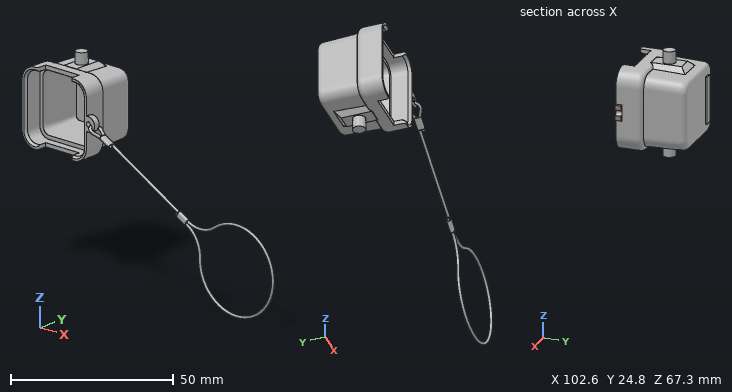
import cadquery as cq
import math

skirt_width = 26.9
skirt_corner = 5.2
skirt_depth = 8.7
shoulder_radius = 1.8
body_width = 24.0
body_corner = 3.8
body_back = 22.5
body_taper = 1.5
back_edge_radius = 1.8
rim_wall = 0.8
mouth_wall = 1.4

lead_in_depth = 1.0
ledge_depth = 6.7
pocket_width = 21.3
pocket_corner = 2.7
pocket_floor = 20.5
pocket_floor_width = 18.8
pocket_taper = math.degrees(math.atan2((pocket_width - pocket_floor_width) / 2, pocket_floor - ledge_depth))

notch_width = 14.0
notch_depth = 3.8
notch_corner = 0.8

pin_diameter = 4.1
pin_span = 35.0
pin_y = 12.6
pad_width = 5.0
pad_front = 7.5
pad_back = 17.6
pad_slope = 2.0

strip_left = -7.8
strip_width = 2.4
strip_length = 15.6
strip_height = 0.5

lug_diameter = 5.1
lug_thickness = 2.2
lug_hole = 1.6
lug_reach = 0.8
lug_x = skirt_width / 2 + lug_reach

cable_diameter = 1.0
cable_pitch = 1.1
tether_drop = math.radians(30)
tether_lean = math.radians(1.1)
tether_y = 0.67
ring_u = 3.0
ring_radius = 2.0
ferrule_thickness = 1.4
ring_ferrule_start = 6.0
ring_ferrule_end = 10.2
ring_tail = 0.8
loop_ferrule_start = 41.5
loop_ferrule_end = 45.6
loop_tail = 0.8
loop_u = 68.6
loop_radius = 15.0


def along_y(y_start):
    """Workplane at the given Y, square to the hood axis and facing +Y."""
    return cq.Workplane(cq.Plane(origin=(0, y_start, 0), xDir=(1, 0, 0), normal=(0, 1, 0)))


def rounded_block(width, corner, y_start, y_end, taper=0.0):
    """Square block with rounded corners, narrowing toward +Y by the taper angle."""
    outline = cq.Sketch().rect(width, width).vertices().fillet(corner)
    return along_y(y_start).placeSketch(outline).extrude(y_end - y_start, taper=taper)


def hood_shell():
    """Solid outer shape of the hood before the cavity is cut."""
    skirt = rounded_block(skirt_width, skirt_corner, 0, skirt_depth)
    skirt = skirt.faces(">Y").edges().fillet(shoulder_radius)
    body = along_y(ledge_depth).rect(body_width, body_width)
    body = body.extrude(body_back - ledge_depth, taper=body_taper)
    body = body.edges("not(|X or |Z)").fillet(body_corner)
    body = body.faces(">Y").edges().fillet(back_edge_radius)
    return skirt.union(body)


def pin_pad():
    """Flat-topped pad with sloped flanks, level with the skirt, and its locking pin, on the +Z side."""
    top = skirt_width / 2
    center_y = (pad_front + pad_back) / 2
    pad = (
        cq.Workplane("XY", origin=(0, center_y, top - pad_slope))
        .rect(pad_width + 2 * pad_slope, pad_back - pad_front + 2 * pad_slope)
        .workplane(offset=pad_slope)
        .rect(pad_width, pad_back - pad_front)
        .loft(ruled=True)
    )
    pin = cq.Workplane("XY", origin=(0, pin_y, top - pad_slope)).circle(pin_diameter / 2)
    pin = pin.extrude(pin_span / 2 - top + pad_slope)
    return pad.union(pin)


def cavity():
    """Stepped hollow cut from the open rim."""
    lead_in_taper = math.degrees(math.atan2(mouth_wall - rim_wall, lead_in_depth))
    rim_opening = skirt_width - 2 * rim_wall
    lead_in = rounded_block(rim_opening, skirt_corner - rim_wall, 0, lead_in_depth, lead_in_taper)
    mouth = rounded_block(skirt_width - 2 * mouth_wall, skirt_corner - mouth_wall, 0, ledge_depth)
    pocket = rounded_block(pocket_width, pocket_corner, ledge_depth, pocket_floor, pocket_taper)
    return lead_in.union(mouth).union(pocket)


def rim_notch():
    """Slot across the rim along Z whose mouth flares out with convex rounded corners."""
    half = notch_width / 2
    return (
        cq.Workplane("XY", origin=(0, 0, -skirt_width / 2))
        .moveTo(-half, notch_depth)
        .lineTo(half, notch_depth)
        .lineTo(half, notch_corner)
        .radiusArc((half + notch_corner, 0), -notch_corner)
        .lineTo(-half - notch_corner, 0)
        .radiusArc((-half, notch_corner), -notch_corner)
        .close()
        .extrude(skirt_width)
    )


def back_strip():
    """Strip centred on the back face, so half of its thickness stands proud."""
    strip = cq.Workplane("XY").box(strip_width, 2 * strip_height, strip_length)
    return strip.translate((strip_left + strip_width / 2, body_back, 0))


def lug():
    """Tongue with a rounded end, rooted in the skirt wall, and its hole."""
    root_x = skirt_width / 2 - rim_wall / 2
    half = lug_diameter / 2
    tongue = (
        along_y(0)
        .moveTo(root_x, -half)
        .lineTo(lug_x, -half)
        .threePointArc((lug_x + half, 0), (lug_x, half))
        .lineTo(root_x, half)
        .close()
        .extrude(lug_thickness)
    )
    hole = along_y(0).center(lug_x, 0).circle(lug_hole / 2).extrude(lug_thickness)
    return tongue.cut(hole)


along = cq.Vector(
    math.cos(tether_lean) * math.cos(tether_drop),
    math.sin(tether_lean),
    -math.cos(tether_lean) * math.sin(tether_drop),
)
across = cq.Vector(math.sin(tether_drop), 0, math.cos(tether_drop))
ring_plane = cq.Plane(origin=(lug_x, tether_y, 0), xDir=along, normal=across)
loop_origin = ring_plane.toWorldCoords((0, cable_pitch / 2, 0))
loop_plane = cq.Plane(origin=loop_origin, xDir=along, normal=along.cross(across))


def cable_along(path):
    """Round cable swept along a path, with its section square to the start of the path."""
    start = path.val().startPoint()
    section = cq.Plane(origin=start, normal=path.val().tangentAt(0))
    return cq.Workplane(section).circle(cable_diameter / 2).sweep(path)


def ferrule(plane, u_start, u_end, middle):
    """Crimped sleeve of stadium section around two parallel cables lying in the plane."""
    section = cq.Plane(origin=plane.toWorldCoords((u_start, middle, 0)), xDir=plane.yDir, normal=along)
    sleeve = cq.Workplane(section).slot2D(cable_pitch + ferrule_thickness, ferrule_thickness)
    return sleeve.extrude(u_end - u_start)


def ring():
    """Small eye through the lug: an arc with two straight legs running tangentially into the ferrule."""
    foot = (ring_ferrule_start + cable_diameter / 2, cable_pitch / 2)
    reach = math.hypot(foot[0] - ring_u, foot[1])
    touch_angle = math.atan2(foot[1], foot[0] - ring_u) + math.acos(ring_radius / reach)
    touch_u = ring_u + ring_radius * math.cos(touch_angle)
    touch_w = ring_radius * math.sin(touch_angle)
    path = (
        cq.Workplane(ring_plane)
        .moveTo(foot[0], -foot[1])
        .lineTo(touch_u, -touch_w)
        .threePointArc((ring_u - ring_radius, 0), (touch_u, touch_w))
        .lineTo(*foot)
        .wire()
    )
    eye = cable_along(path)
    tail = cq.Workplane(ring_plane).moveTo(ring_ferrule_start, -foot[1])
    tail = tail.lineTo(ring_ferrule_end + ring_tail, -foot[1]).wire()
    return eye.union(cable_along(tail))


def bend_to_loop(offset):
    """Bend leaving a cable at the given offset and meeting the loop tangentially.

    Returns the middle of the bend and the point where it joins the loop.
    """
    run = loop_u - loop_ferrule_end
    radius = (run**2 + offset**2 - loop_radius**2) / (2 * (loop_radius - abs(offset)))
    side = 1 if offset >= 0 else -1
    center_v = offset + side * radius
    join_angle = math.atan2(-center_v, run)
    middle_angle = (join_angle - side * math.pi / 2) / 2
    return [
        (loop_ferrule_end + radius * math.cos(angle), center_v + radius * math.sin(angle))
        for angle in (middle_angle, join_angle)
    ]


def cable_with_loop():
    """Main cable: tail in the ferrule, bend, most of a circle, bend back and straight run to the ring."""
    low_middle, low_join = bend_to_loop(-cable_pitch)
    high_middle, high_join = bend_to_loop(0)
    path = (
        cq.Workplane(loop_plane)
        .moveTo(loop_ferrule_start - loop_tail, -cable_pitch)
        .lineTo(loop_ferrule_end, -cable_pitch)
        .threePointArc(low_middle, low_join)
        .threePointArc((loop_u + loop_radius, 0), high_join)
        .threePointArc(high_middle, (loop_ferrule_end, 0))
        .lineTo(ring_ferrule_start, 0)
        .wire()
    )
    return cable_along(path)


def tether():
    """Cable, ring and both ferrules as one piece."""
    ring_ferrule = ferrule(ring_plane, ring_ferrule_start, ring_ferrule_end, 0)
    loop_ferrule = ferrule(loop_plane, loop_ferrule_start, loop_ferrule_end, -cable_pitch / 2)
    return cable_with_loop().union(loop_ferrule).union(ring()).union(ring_ferrule)


upper_pad = pin_pad()
hood = hood_shell().union(upper_pad).union(upper_pad.mirror("XY")).union(back_strip())
hood = hood.cut(cavity()).cut(rim_notch()).union(lug())
result = hood.union(tether())